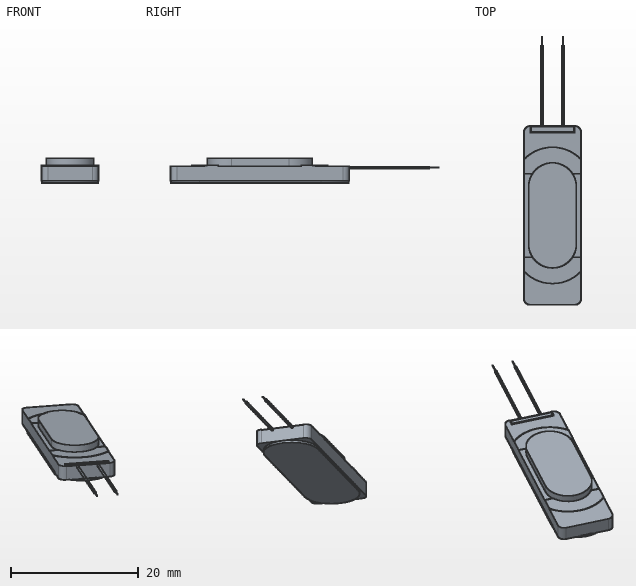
import cadquery as cq
import math

body_width = 9.0
body_length = 28.0
corner_radius = 1.0
body_bottom = 0.38
body_top = 2.7
overall_height = 3.9

pad_width = 7.48
pad_length = 16.45
pad_end_center = (pad_length - pad_width) / 2

crescent_height = 0.1
crescent_radius = 6.17
crescent_inner_edge = 6.5

base_width = 8.8
base_length = 27.85

outlet_width = 6.97
outlet_length = 1.05
groove_width = 0.15
groove_depth = 0.065

overall_length = 42
wire_spacing = 3.28
wire_diameter = 0.35
wire_z = 2.45
tip_diameter = 0.105
tip_length = 1.45
wire_embed = 0.4

half_length = body_length / 2
wire_end = overall_length - half_length
insulation_end = wire_end - tip_length


def stadium(width, length, bottom, top):
    """Upright slab with semicircular ends, long along Y."""
    return (
        cq.Workplane("XY").workplane(offset=bottom)
        .slot2D(length, width, 90)
        .extrude(top - bottom)
    )


def box_between(width, y_start, y_end, bottom, top):
    """Box centred in X between two Y positions and two heights."""
    return (
        cq.Workplane("XY").box(width, y_end - y_start, top - bottom)
        .translate((0, (y_start + y_end) / 2, (bottom + top) / 2))
    )


def rod(x, y_start, y_end, diameter):
    """Round rod parallel to Y at wire height."""
    section = cq.Workplane("XZ", origin=(x, y_start, wire_z)).circle(diameter / 2)
    return section.extrude(y_start - y_end)


def crescent(side):
    """Raised area between a straight inner edge and an arc; side is +1 or -1."""
    half_width = body_width / 2
    arc_edge_y = pad_end_center + math.sqrt(crescent_radius**2 - half_width**2)
    arc_peak_y = pad_end_center + crescent_radius
    return (
        cq.Workplane("XY").workplane(offset=body_top)
        .moveTo(-half_width, side * crescent_inner_edge)
        .lineTo(-half_width, side * arc_edge_y)
        .threePointArc((0, side * arc_peak_y), (half_width, side * arc_edge_y))
        .lineTo(half_width, side * crescent_inner_edge)
        .close()
        .extrude(crescent_height)
    )


body = box_between(body_width, -half_length, half_length, body_bottom, body_top)
body = body.edges("|Z").fillet(corner_radius)

groove_bottom = body_top - groove_depth
outlet_start = half_length - outlet_length
groove = box_between(outlet_width, outlet_start, half_length, groove_bottom, body_top)
outlet_top = box_between(
    outlet_width - 2 * groove_width,
    outlet_start + groove_width,
    half_length - groove_width,
    groove_bottom,
    body_top,
)
body = body.cut(groove.cut(outlet_top))

result = body.union(stadium(base_width, base_length, 0, body_bottom))
result = result.union(stadium(pad_width, pad_length, body_top, overall_height))

for side in (-1, 1):
    result = result.union(crescent(side))

for side in (-1, 1):
    wire_x = side * wire_spacing / 2
    result = result.union(rod(wire_x, half_length - wire_embed, insulation_end, wire_diameter))
    result = result.union(rod(wire_x, insulation_end, wire_end, tip_diameter))